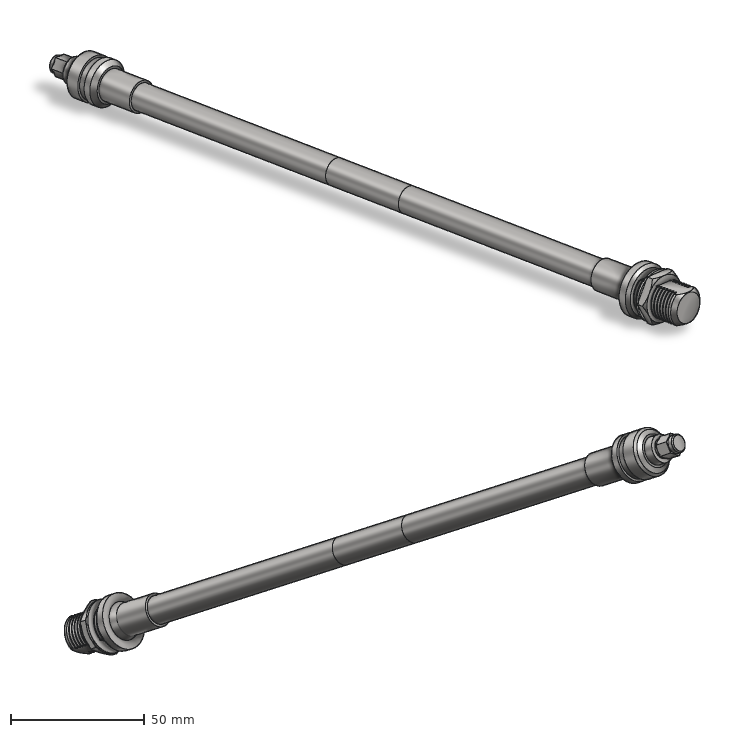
import cadquery as cq
import math

total_length = 326.5

cable_radius = 5.5
marker_start = 144.7
marker_length = 37.5
marker_end = marker_start + marker_length

boot_radius = 6.5
plug_boot_end = 44.5
socket_boot_start = 282.5
socket_boot_end = 298.2

tip_radius = 3.5
tip_length = 2.3
tip_chamfer = 0.5
hex_width = 8.0
hex_corner_radius = hex_width / math.sqrt(3)
hex_end = 8.2
neck_radius = 4.0
collar_start = 9.0
collar_end = 13.0
collar_radius = 5.5
shell_start = 15.0
shell_end = 20.5
shell_radius = 9.5
shell_shoulder_radius = 8.5
shell_shoulder_length = 1.0
groove_radius = 8.5
rim_start = 24.0
rim_end = 26.8
rim_chamfer = 2.0
plug_boot_start = rim_end + rim_chamfer

flange_start = 301.0
flange_end = 305.7
flange_radius = 22.0 / 2
flange_chamfer = 1.3
socket_neck_radius = 7.5

thread_radius = 16.0 / 2
thread_root_radius = 14.0 / 2
thread_pitch = 1.5
thread_chamfer_length = 1.5
thread_end_radius = 6.2
thread_width_across_flats = 12.7

washer_start = 309.5
washer_thickness = 1.0
washer_radius = 10.5
nut_start = washer_start + washer_thickness
nut_length = 3.5
nut_end = nut_start + nut_length
nut_corner_radius = 22.0 / 2
nut_flat_radius = nut_corner_radius * math.cos(math.pi / 6)
nut_chamfer_length = 1.0


def turned(outline):
    """Revolve a Workplane outline, drawn as X and radius and closed along the axis, about X."""
    return outline.close().revolve(360, (0, 0, 0), (1, 0, 0))


def rod(start, end, radius):
    """Round bar along X."""
    return cq.Workplane("YZ", origin=(start, 0, 0)).circle(radius).extrude(end - start)


def hexagon(start, end, corner_radius):
    """Hexagonal bar along X with corners at +Y and -Y and flats on top and bottom."""
    return cq.Workplane("YZ", origin=(start, 0, 0)).polygon(6, 2 * corner_radius).extrude(end - start)


def make_cable(start, end):
    """One length of the cable, or the marker between its two lengths."""
    return rod(start, end, cable_radius)


def make_plug():
    """Hexagonal tip, collar, grooved shell and a boot bored for the cable."""
    outline = (
        cq.Workplane("XZ")
        .moveTo(0, 0)
        .lineTo(0, tip_radius - tip_chamfer)
        .lineTo(tip_chamfer, tip_radius)
        .lineTo(hex_end, tip_radius)
        .lineTo(hex_end, neck_radius)
        .lineTo(collar_start, neck_radius)
        .lineTo(collar_start, collar_radius)
        .lineTo(collar_end, collar_radius)
        .lineTo(collar_end, boot_radius)
        .lineTo(collar_end + shell_shoulder_length, shell_shoulder_radius)
        .lineTo(shell_start, shell_radius)
        .lineTo(shell_end, shell_radius)
        .lineTo(shell_end, groove_radius)
        .lineTo(rim_start, groove_radius)
        .lineTo(rim_start, shell_radius)
        .lineTo(rim_end, shell_radius)
        .lineTo(plug_boot_start, shell_radius - rim_chamfer)
        .lineTo(plug_boot_start, boot_radius)
        .lineTo(plug_boot_end, boot_radius)
        .lineTo(plug_boot_end, 0)
    )
    body = turned(outline).union(hexagon(tip_length, hex_end, hex_corner_radius))
    return body.cut(rod(plug_boot_start, plug_boot_end, cable_radius))


def make_thread():
    """Bar from the flange to the +X end with grooves one pitch apart, a chamfer and two flats."""
    crest_end = total_length - thread_chamfer_length
    quarter_pitch = thread_pitch / 4
    groove_count = math.floor((crest_end - flange_end) / thread_pitch)
    outline = cq.Workplane("XZ").moveTo(flange_end, 0).lineTo(flange_end, thread_radius)
    for i in range(groove_count):
        groove_start = flange_end + i * thread_pitch
        outline = (
            outline.lineTo(groove_start + quarter_pitch, thread_radius)
            .lineTo(groove_start + 2 * quarter_pitch, thread_root_radius)
            .lineTo(groove_start + 3 * quarter_pitch, thread_root_radius)
            .lineTo(groove_start + thread_pitch, thread_radius)
        )
    outline = (
        outline.lineTo(crest_end, thread_radius)
        .lineTo(total_length, thread_end_radius)
        .lineTo(total_length, 0)
    )
    between_flats = (
        cq.Workplane("YZ", origin=(flange_end, 0, 0))
        .rect(2 * thread_radius, thread_width_across_flats)
        .extrude(total_length - flange_end)
    )
    return turned(outline).intersect(between_flats)


def make_socket():
    """Boot bored for the cable, conical neck, flange and thread."""
    outline = (
        cq.Workplane("XZ")
        .moveTo(socket_boot_start, 0)
        .lineTo(socket_boot_start, boot_radius)
        .lineTo(socket_boot_end, boot_radius)
        .lineTo(flange_start, socket_neck_radius)
        .lineTo(flange_start, flange_radius)
        .lineTo(flange_end - flange_chamfer, flange_radius)
        .lineTo(flange_end, flange_radius - flange_chamfer)
        .lineTo(flange_end, 0)
    )
    body = turned(outline).union(make_thread())
    return body.cut(rod(socket_boot_start, socket_boot_end, cable_radius))


def make_nut():
    """Hexagonal nut with its corners chamfered on the +X end, fitted to the thread."""
    chamfer_limit = (
        cq.Workplane("XZ")
        .moveTo(nut_start, 0)
        .lineTo(nut_start, nut_corner_radius)
        .lineTo(nut_end - nut_chamfer_length, nut_corner_radius)
        .lineTo(nut_end, nut_flat_radius)
        .lineTo(nut_end, 0)
    )
    return hexagon(nut_start, nut_end, nut_corner_radius).intersect(turned(chamfer_limit))


plug = make_plug()
socket = make_socket()
plug_cable = make_cable(plug_boot_start, marker_start)
marker = make_cable(marker_start, marker_end)
socket_cable = make_cable(marker_end, socket_boot_end)
washer = rod(washer_start, nut_start, washer_radius).cut(socket)
nut = make_nut().cut(socket)

bodies = [plug, socket, plug_cable, marker, socket_cable, washer, nut]
result = cq.Compound.makeCompound([body.val() for body in bodies])